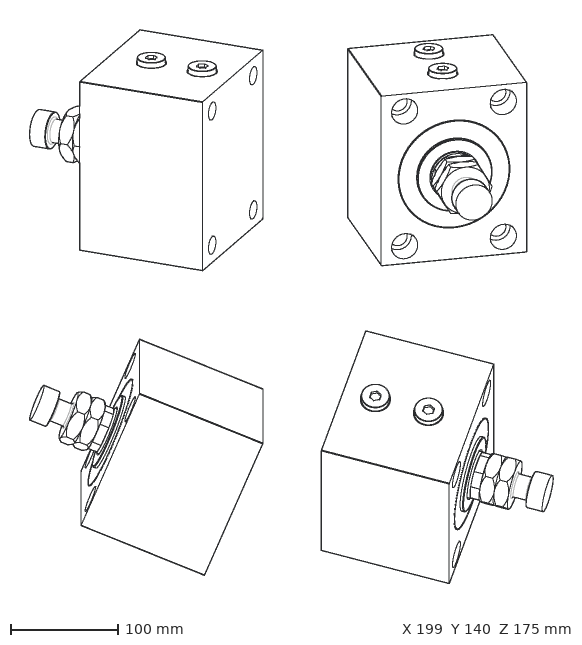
import cadquery as cq
import math


BLOCK_LENGTH = 124.8
BLOCK_WIDTH = 140.0
BLOCK_HEIGHT = 170.0
BLOCK_CHAMFER = 0.5
BOLT_SPACING_Y = 95.0
BOLT_SPACING_Z = 135.0
BOLT_HOLE_DIAMETER = 17.1
COUNTERBORE_DIAMETER = 25.0
COUNTERBORE_DEPTH = 23.9

GLAND_DIAMETER = 107.5
GLAND_DEPTH = 29.8
GLAND_CHAMFER = 0.8
COLLAR_DIAMETER = 72.0
COLLAR_HEIGHT = 3.2
COLLAR_CHAMFER = 0.8
ROD_BORE_CHAMFER = 1.5

ROD_DIAMETER = 45.0
ROD_REACH = 14.3
FLAT_LENGTH = 9.0
FLATS_ACROSS = 39.8
WRENCH_END_DIAMETER = 44.0

HEAD_DIAMETER = 35.0
HEAD_LENGTH = 16.1
HEAD_CHAMFER = 0.5
NECK_DIAMETER = 22.3
NECK_LENGTH = 16.0
NECK_FILLET = 1.8
HEXAGON_COUNT = 2
HEXAGON_ACROSS_FLATS = 46.2
HEXAGON_BEVEL_ANGLE = 45
OVERALL_LENGTH = 199.0

PLUG_POSITIONS_X = (42.0, 93.7)
PLUG_DIAMETER = 26.3
PLUG_CHAMFER = 0.4
PLUG_HEIGHT = 5.0
PLUG_DEPTH = 12.0
PLUG_SOCKET_ACROSS_FLATS = 9.5
PLUG_SOCKET_DEPTH = 3.2
PORT_RING_DIAMETER = 28.0
PORT_RING_DEPTH = 1.0

BLOCK_TOP = BLOCK_HEIGHT / 2
PIN_FRONT = BLOCK_LENGTH - OVERALL_LENGTH
NECK_FRONT = PIN_FRONT + HEAD_LENGTH
HEXAGONS_FRONT = NECK_FRONT + NECK_LENGTH
HEXAGON_LENGTH = (-ROD_REACH - HEXAGONS_FRONT) / HEXAGON_COUNT
CORNERS_PER_FLATS = 2 / math.sqrt(3)
HEXAGON_ACROSS_CORNERS = HEXAGON_ACROSS_FLATS * CORNERS_PER_FLATS


def rod_axis_cylinder(diameter, start, end):
    """Cylinder along the X axis from X = start to X = end."""
    return cq.Workplane("YZ", origin=(start, 0, 0)).circle(diameter / 2).extrude(end - start)


def make_block():
    block = (
        cq.Workplane("XY")
        .box(BLOCK_LENGTH, BLOCK_WIDTH, BLOCK_HEIGHT)
        .translate((BLOCK_LENGTH / 2, 0, 0))
        .edges("|X")
        .chamfer(BLOCK_CHAMFER)
    )
    block = (
        block.faces("<X")
        .workplane(origin=(0, 0, 0))
        .rect(BOLT_SPACING_Y, BOLT_SPACING_Z, forConstruction=True)
        .vertices()
        .cboreHole(BOLT_HOLE_DIAMETER, COUNTERBORE_DIAMETER, COUNTERBORE_DEPTH)
    )
    block = block.cut(rod_axis_cylinder(GLAND_DIAMETER, 0, GLAND_DEPTH))
    for x in PLUG_POSITIONS_X:
        port = cq.Workplane("XY", origin=(x, 0, BLOCK_TOP))
        block = block.cut(port.circle(PLUG_DIAMETER / 2).extrude(-PLUG_DEPTH))
        block = block.cut(port.circle(PORT_RING_DIAMETER / 2).extrude(-PORT_RING_DEPTH))
    return block


def make_gland():
    insert = rod_axis_cylinder(GLAND_DIAMETER, 0, GLAND_DEPTH).faces("<X").chamfer(GLAND_CHAMFER)
    collar = rod_axis_cylinder(COLLAR_DIAMETER, -COLLAR_HEIGHT, 0).faces("<X").chamfer(COLLAR_CHAMFER)
    rod_bore = rod_axis_cylinder(ROD_DIAMETER, -COLLAR_HEIGHT, GLAND_DEPTH)
    bore_mouth = cq.Workplane(
        cq.Solid.makeCone(
            ROD_DIAMETER / 2 + ROD_BORE_CHAMFER,
            ROD_DIAMETER / 2,
            ROD_BORE_CHAMFER,
            pnt=cq.Vector(-COLLAR_HEIGHT, 0, 0),
            dir=cq.Vector(1, 0, 0),
        )
    )
    return insert.union(collar).cut(rod_bore).cut(bore_mouth)


def make_rod():
    flats_end = FLAT_LENGTH - ROD_REACH
    rod = rod_axis_cylinder(ROD_DIAMETER, flats_end, GLAND_DEPTH)
    flats = (
        rod_axis_cylinder(WRENCH_END_DIAMETER, -ROD_REACH, flats_end)
        .intersect(cq.Workplane("XY").box(2 * ROD_REACH, FLATS_ACROSS, FLATS_ACROSS))
    )
    return rod.union(flats)


def make_hexagon(start):
    """Hexagon with two horizontal flats, bevelled at both ends by cones that begin at the flats."""
    flat_radius = HEXAGON_ACROSS_FLATS / 2
    corner_radius = HEXAGON_ACROSS_CORNERS / 2
    bevel_length = (corner_radius - flat_radius) / math.tan(math.radians(HEXAGON_BEVEL_ANGLE))
    prism = (
        cq.Workplane("YZ", origin=(start, 0, 0))
        .polygon(6, HEXAGON_ACROSS_CORNERS)
        .extrude(HEXAGON_LENGTH)
    )
    end = start + HEXAGON_LENGTH
    bevelled_blank = (
        cq.Workplane("XY")
        .moveTo(start, 0)
        .lineTo(start, flat_radius)
        .lineTo(start + bevel_length, corner_radius)
        .lineTo(end - bevel_length, corner_radius)
        .lineTo(end, flat_radius)
        .lineTo(end, 0)
        .close()
        .revolve(360, (0, 0, 0), (1, 0, 0))
    )
    return prism.intersect(bevelled_blank)


def make_coupling_pin():
    neck_radius = NECK_DIAMETER / 2
    flare_radius = neck_radius + NECK_FILLET
    head_radius = HEAD_DIAMETER / 2
    arc_offset = NECK_FILLET * (1 - math.sqrt(0.5))
    pin = (
        cq.Workplane("XY")
        .moveTo(PIN_FRONT, 0)
        .lineTo(PIN_FRONT, head_radius)
        .lineTo(NECK_FRONT - HEAD_CHAMFER, head_radius)
        .lineTo(NECK_FRONT, head_radius - HEAD_CHAMFER)
        .lineTo(NECK_FRONT, flare_radius)
        .threePointArc(
            (NECK_FRONT + arc_offset, neck_radius + arc_offset),
            (NECK_FRONT + NECK_FILLET, neck_radius),
        )
        .lineTo(HEXAGONS_FRONT - NECK_FILLET, neck_radius)
        .threePointArc(
            (HEXAGONS_FRONT - arc_offset, neck_radius + arc_offset),
            (HEXAGONS_FRONT, flare_radius),
        )
        .lineTo(HEXAGONS_FRONT, 0)
        .close()
        .revolve(360, (0, 0, 0), (1, 0, 0))
    )
    for index in range(HEXAGON_COUNT):
        pin = pin.union(make_hexagon(HEXAGONS_FRONT + index * HEXAGON_LENGTH))
    return pin


def make_plug(x):
    plug = (
        cq.Workplane("XY", origin=(x, 0, BLOCK_TOP - PLUG_DEPTH))
        .circle(PLUG_DIAMETER / 2)
        .extrude(PLUG_DEPTH + PLUG_HEIGHT)
        .faces(">Z")
        .chamfer(PLUG_CHAMFER)
    )
    socket = (
        cq.Workplane("XY", origin=(x, 0, BLOCK_TOP + PLUG_HEIGHT))
        .transformed(rotate=(0, 0, 30))
        .polygon(6, PLUG_SOCKET_ACROSS_FLATS * CORNERS_PER_FLATS)
        .extrude(-PLUG_SOCKET_DEPTH)
    )
    return plug.cut(socket)


block = make_block()
gland = make_gland()
rod = make_rod()
coupling_pin = make_coupling_pin()
plugs = [make_plug(x) for x in PLUG_POSITIONS_X]

result = cq.Compound.makeCompound(
    [block.val(), gland.val(), rod.val(), coupling_pin.val(), *[plug.val() for plug in plugs]]
)